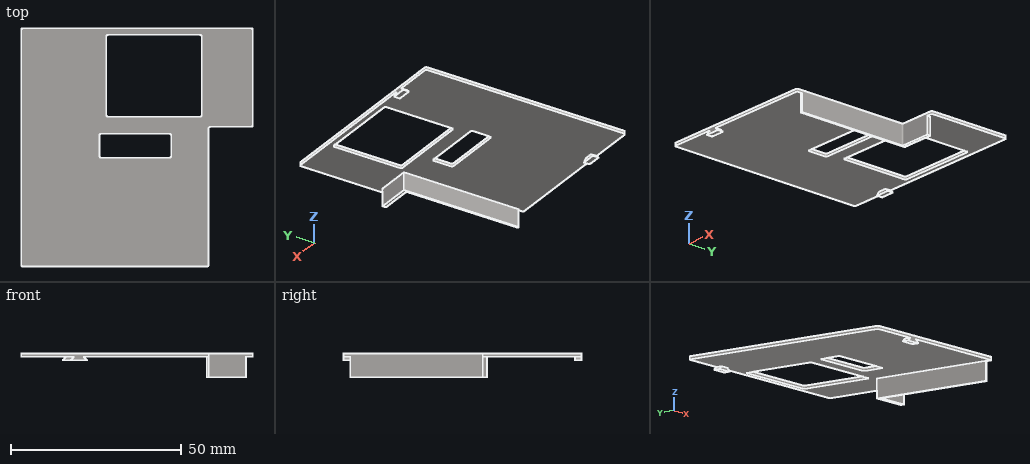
import cadquery as cq

PLATE_WIDTH = 68.0
PLATE_LENGTH = 70.0
PLATE_THICKNESS = 1.0
CORNER_RADIUS = 0.5

NOTCH_X = 55.0
NOTCH_Y = 41.0

LARGE_WINDOW_X = 25.0
LARGE_WINDOW_Y = 44.0
LARGE_WINDOW_WIDTH = 28.0
LARGE_WINDOW_LENGTH = 24.0
SMALL_WINDOW_X = 23.0
SMALL_WINDOW_Y = 32.0
SMALL_WINDOW_WIDTH = 21.0
SMALL_WINDOW_LENGTH = 7.0

SKIRT_DEPTH = 6.0
SIDE_WALL_THICKNESS = 0.56
BACK_WALL_THICKNESS = 1.2
SKIRT_END_INSET = 2.0

TAB_HEIGHT = 1.0
TAB_LENGTH = 2.0
TAB_BASE_WIDTH = 4.9
TAB_FLARE = 1.0
FRONT_TAB_X = 14.5
BACK_TAB_X = 12.15


def block(x, y, z, width, length, height):
    """Box given by its lowest corner and its sizes."""
    return cq.Workplane("XY").box(width, length, height, centered=False).translate((x, y, z))


def make_plate():
    plate = block(0, 0, 0, PLATE_WIDTH, PLATE_LENGTH, PLATE_THICKNESS)
    notch = block(NOTCH_X, 0, 0, PLATE_WIDTH - NOTCH_X, NOTCH_Y, PLATE_THICKNESS)
    return plate.cut(notch).edges("|Z").fillet(CORNER_RADIUS)


def make_window(x, y, width, length):
    return block(x, y, 0, width, length, PLATE_THICKNESS).edges("|Z").fillet(CORNER_RADIUS)


def make_skirt():
    wall_x = NOTCH_X - SIDE_WALL_THICKNESS
    wall_end_y = NOTCH_Y + BACK_WALL_THICKNESS
    side_wall = block(
        wall_x, SKIRT_END_INSET, -SKIRT_DEPTH,
        SIDE_WALL_THICKNESS, wall_end_y - SKIRT_END_INSET, SKIRT_DEPTH,
    )
    back_wall = block(
        wall_x, NOTCH_Y, -SKIRT_DEPTH,
        PLATE_WIDTH - SKIRT_END_INSET - wall_x, BACK_WALL_THICKNESS, SKIRT_DEPTH,
    )
    inner_corner = cq.selectors.NearestToPointSelector((NOTCH_X, NOTCH_Y, -SKIRT_DEPTH / 2))
    return side_wall.union(back_wall).edges("|Z").edges(inner_corner).fillet(CORNER_RADIUS)


def make_tab(x, y):
    """Dovetail tab, widest at its lower face, running back from y."""
    outline = [
        (x, -TAB_HEIGHT),
        (x + TAB_BASE_WIDTH, -TAB_HEIGHT),
        (x + TAB_BASE_WIDTH - TAB_FLARE, 0),
        (x + TAB_FLARE, 0),
    ]
    tab = cq.Workplane("XZ").polyline(outline).close().extrude(-TAB_LENGTH)
    return tab.translate((0, y, 0))


large_window = make_window(LARGE_WINDOW_X, LARGE_WINDOW_Y, LARGE_WINDOW_WIDTH, LARGE_WINDOW_LENGTH)
small_window = make_window(SMALL_WINDOW_X, SMALL_WINDOW_Y, SMALL_WINDOW_WIDTH, SMALL_WINDOW_LENGTH)
front_tab = make_tab(FRONT_TAB_X, 0)
back_tab = make_tab(BACK_TAB_X, PLATE_LENGTH - TAB_LENGTH)

result = make_plate().cut(large_window).cut(small_window)
result = result.union(make_skirt()).union(front_tab).union(back_tab)